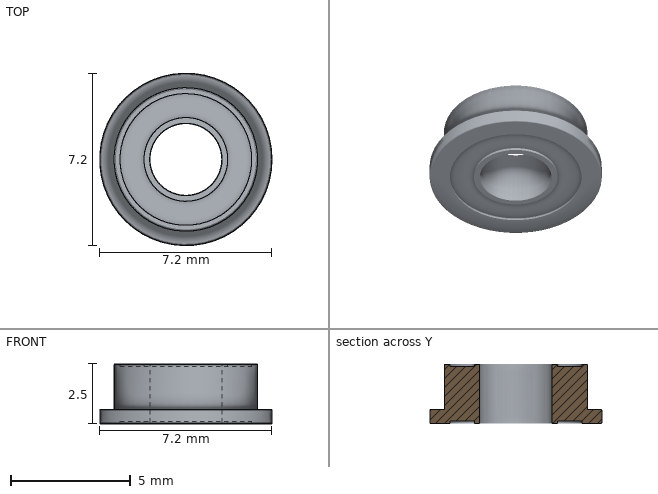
import cadquery as cq

flange_diameter = 7.2
body_diameter = 6.0
shield_diameter = 5.5
inner_ring_diameter = 3.5
bore_diameter = 3.0
height = 2.5
flange_thickness = 0.605
shield_recess = 0.1
edge_round = 0.05


def disc(diameter, thickness, base_z=0.0):
    """Solid disc on the bearing axis, standing on base_z."""
    return cq.Workplane("XY").workplane(offset=base_z).circle(diameter / 2).extrude(thickness)


def shield_groove(base_z):
    """Ring-shaped recess between the inner and outer rings."""
    return disc(shield_diameter, shield_recess, base_z).cut(
        disc(inner_ring_diameter, shield_recess, base_z)
    )


flange = disc(flange_diameter, flange_thickness).edges("%CIRCLE").fillet(edge_round)
body = disc(body_diameter, height).faces(">Z").edges().fillet(edge_round)

result = flange.union(body).cut(disc(bore_diameter, height))
for groove_base in (0.0, height - shield_recess):
    result = result.cut(shield_groove(groove_base))